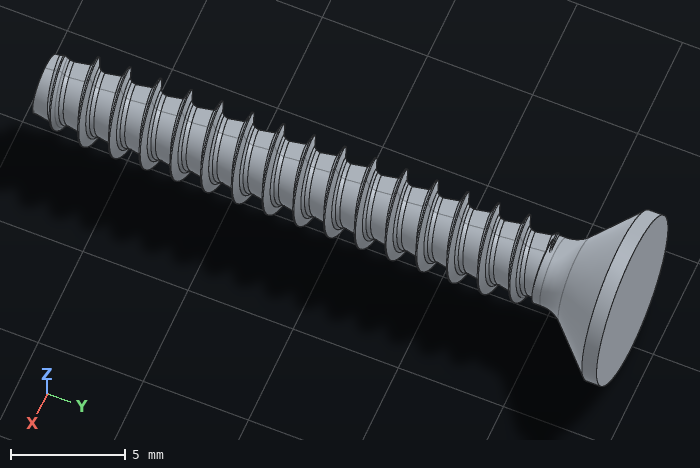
import cadquery as cq
import math


length = 28.0
head_radius = 4.0

rim_height = 0.7
cone_half_angle = math.radians(45)
shank_radius = 1.6
neck_fillet = 1.5
shank_end = 4.1

point_height = 0.05
blank_radius = 3.0

pitch = 1.462
crest_radius = 2.0
knee_radius = 1.55
base_radius = 1.5
bend_radius = 1.42
foot_radius = 1.37
crest_half_width = 0.03
knee_offset = -0.18
base_offset = 0.2
bend_offset = -0.30
foot_offset = -0.50

thread_start = 2.45
turns = 18
entry_turns = 2
full_turns = 14
entry_radius = 1.6
fade_radius = 1.65
runout_length = 0.4
seam_angle = math.pi / 2
points_per_turn = 24

full_z = thread_start + entry_turns * pitch
fade_z = full_z + full_turns * pitch
runout_z = fade_z + pitch
runout_end = runout_z + runout_length


def make_head():
    """Rim, cone, tangent neck fillet and plain shank."""
    fillet_start_radius = shank_radius + neck_fillet * (1 - math.cos(cone_half_angle))
    fillet_mid_radius = shank_radius + neck_fillet * (1 - math.cos(cone_half_angle / 2))
    cone_length = (head_radius - fillet_start_radius) / math.tan(cone_half_angle)
    fillet_start = rim_height + cone_length
    fillet_end = fillet_start + neck_fillet * math.sin(cone_half_angle)
    fillet_mid = fillet_end - neck_fillet * math.sin(cone_half_angle / 2)
    profile = (
        cq.Workplane("XZ")
        .lineTo(head_radius, 0)
        .lineTo(head_radius, rim_height)
        .lineTo(fillet_start_radius, fillet_start)
        .threePointArc((fillet_mid_radius, fillet_mid), (shank_radius, fillet_end))
        .lineTo(shank_radius, shank_end)
        .lineTo(0, shank_end)
        .close()
    )
    return profile.revolve(360, (0, 0, 0), (0, 1, 0))


def make_tip_envelope():
    """Wide cylinder whose end is the very flat point of the screw."""
    blank_end = length - point_height * blank_radius / foot_radius
    profile = (
        cq.Workplane("XZ")
        .lineTo(blank_radius, 0)
        .lineTo(blank_radius, blank_end)
        .lineTo(0, length)
        .close()
    )
    return profile.revolve(360, (0, 0, 0), (0, 1, 0))


def interpolate(z, stations):
    """Straight-line interpolation between (z, radius) stations."""
    for (z0, r0), (z1, r1) in zip(stations, stations[1:]):
        if z <= z1:
            return r0 + (r1 - r0) * (z - z0) / (z1 - z0)
    return stations[-1][1]


def crest_at(z):
    """Crest rises out of the shank, stays full, then sinks into the tip."""
    stations = [
        (thread_start, knee_radius),
        (thread_start + pitch, entry_radius),
        (full_z, crest_radius),
        (fade_z, crest_radius),
        (runout_z, fade_radius),
        (runout_end, foot_radius),
    ]
    return interpolate(z, stations)


def core_level(radius):
    """Radius function of a corner on the core: steady, then sinking to the foot at the runout."""
    stations = [(thread_start, radius), (runout_z, radius), (runout_end, foot_radius)]
    return lambda z: interpolate(z, stations)


foot_at = core_level(foot_radius)

thread_form = [
    (foot_offset, foot_at),
    (bend_offset, core_level(bend_radius)),
    (knee_offset, core_level(knee_radius)),
    (-crest_half_width, crest_at),
    (crest_half_width, crest_at),
    (base_offset, core_level(base_radius)),
    (foot_offset + pitch, foot_at),
]


def thread_point(z, offset, radius_at):
    angle = seam_angle + 2 * math.pi * (z - thread_start) / pitch
    radius = radius_at(z)
    return cq.Vector(radius * math.cos(angle), radius * math.sin(angle), z + offset)


def thread_edge(turn, offset, radius_at):
    """One right-handed turn of the helix traced by a corner of the thread form."""
    z0 = thread_start + turn * pitch
    heights = [z0 + pitch * step / points_per_turn for step in range(points_per_turn + 1)]
    return cq.Edge.makeSpline([thread_point(z, offset, radius_at) for z in heights])


def helicoid_cap(turn):
    """Faces closing the rod along one turn of the foot helix, in to the axis."""
    helix_z = thread_start + turn * pitch
    rim = thread_edge(turn, foot_offset, foot_at)
    axis_start = cq.Vector(0, 0, helix_z + foot_offset)
    axis_end = axis_start + cq.Vector(0, 0, pitch)
    screw_face = cq.Face.makeRuledSurface(rim, cq.Edge.makeLine(axis_start, axis_end))
    form = [thread_point(helix_z, offset, radius_at) for offset, radius_at in thread_form]
    step_face = cq.Face.makeFromWires(cq.Wire.makePolygon([axis_start, *form, axis_end], close=True))
    return [screw_face, step_face]


def make_threaded_rod():
    """Core and thread as one solid, with ruled faces between neighbouring helices."""
    faces = helicoid_cap(0) + helicoid_cap(turns)
    for turn in range(turns):
        edges = [thread_edge(turn, offset, radius_at) for offset, radius_at in thread_form]
        faces += [cq.Face.makeRuledSurface(a, b) for a, b in zip(edges, edges[1:])]
    return cq.Workplane(cq.Solid.makeSolid(cq.Shell.makeShell(faces)))


rod = make_threaded_rod().intersect(make_tip_envelope())
result = rod.union(make_head()).rotate((0, 0, 0), (1, 0, 0), 90)